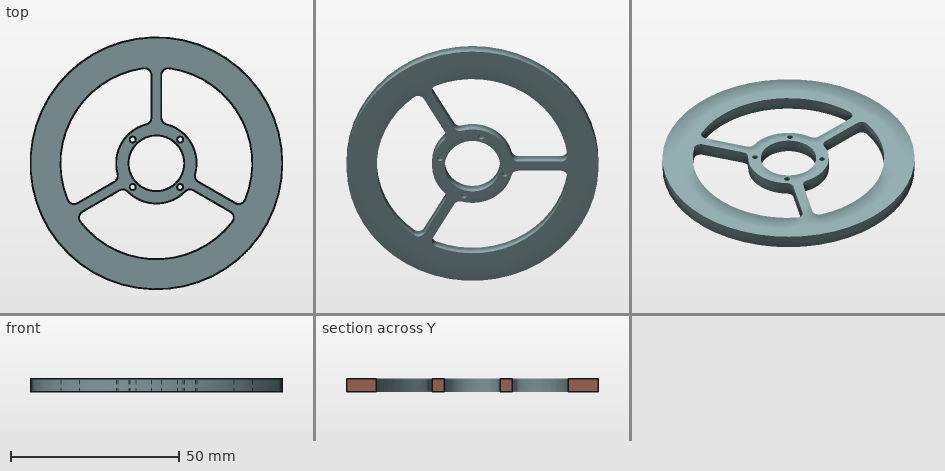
import cadquery as cq

outer_diameter = 75.0
thickness = 4.0
rim_inner_diameter = 57.0
hub_diameter = 24.0
bore_diameter = 16.5
spoke_count = 3
spoke_width = 3.0
first_spoke_angle = 90.0
window_corner_radius = 2.0
bolt_count = 4
bolt_circle_radius = 10.0
bolt_hole_diameter = 1.7
first_bolt_angle = 45.0


def ring(outer, inner):
    """Flat ring of full thickness, standing on the XY plane."""
    return cq.Workplane("XY").circle(outer / 2).circle(inner / 2).extrude(thickness)


def spoke(angle):
    """Straight bar from the wheel axis out to the inner edge of the rim."""
    length = rim_inner_diameter / 2
    bar = cq.Workplane("XY").box(length, spoke_width, thickness, centered=(False, True, False))
    return bar.rotate((0, 0, 0), (0, 0, 1), angle)


def window_cutters():
    """Rounded openings between hub, rim and spokes."""
    openings = ring(rim_inner_diameter, hub_diameter)
    for index in range(spoke_count):
        openings = openings.cut(spoke(first_spoke_angle + index * 360 / spoke_count))
    return openings.edges("|Z").fillet(window_corner_radius)


def bolt_hole_cutters():
    """Through holes in the hub, evenly spaced around the bore."""
    return (
        cq.Workplane("XY")
        .polarArray(bolt_circle_radius, first_bolt_angle, 360, bolt_count)
        .circle(bolt_hole_diameter / 2)
        .extrude(thickness)
    )


wheel = ring(outer_diameter, bore_diameter)
result = wheel.cut(window_cutters()).cut(bolt_hole_cutters())